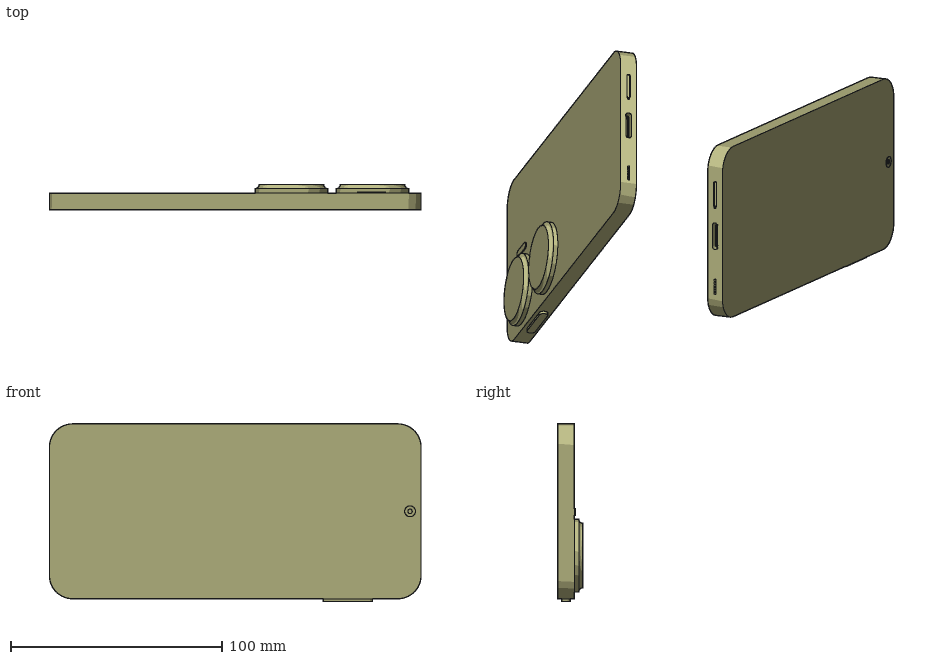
import cadquery as cq

length = 176.0
height = 83.0
thickness = 8.0
corner_radius = 11.1
mid_y = thickness / 2
left_x = -length / 2

overall_depth = 12.0
camera_base_radius = 17.3
camera_base_height = 2.1
camera_height = overall_depth - thickness
camera_cove_radius = camera_height - camera_base_height
camera_z = -21.0
camera_centers_x = (26.5, 65.0)

flash_length = 13.2
flash_width = 3.2
flash_height = 0.5
flash_x = 64.5
flash_z = -0.4

overall_height = 84.2
key_length = 23.5
key_width = 4.0
key_height = overall_height - height
key_x = 53.3

selfie_diameter = 5.1
selfie_depth = 0.2
selfie_lens_diameter = 2.1
selfie_lens_depth = 0.5
selfie_x = 82.7

socket_length = 12.9
socket_width = 2.8
socket_depth = 3.5
tongue_length = 9.9
tongue_width = 0.5
tongue_setback = 0.9
socket_z = -0.4

tray_length = 12.1
tray_width = 1.5
tray_depth = 0.9
tray_z = 20.0
pinhole_diameter = 0.9
pinhole_depth = 1.8
pinhole_z = 13.5

speaker_count = 6
speaker_pitch = 1.2
speaker_diameter = 1.0
speaker_depth = 1.8
speaker_z = -25.0


def display_plane(y):
    """Plane at depth y, local x along X, local y along Z, normal toward -Y."""
    return cq.Workplane("XZ", origin=(0, y, 0))


def left_end():
    """Plane on the left end, local x along Y, local y along Z, normal toward +X."""
    return cq.Workplane("YZ", origin=(left_x, mid_y, 0))


def make_slab():
    slab = cq.Workplane("XZ").rect(length, height).extrude(-thickness)
    return slab.edges("|Y").fillet(corner_radius)


def make_flash():
    return display_plane(thickness).center(flash_x, flash_z).slot2D(flash_length, flash_width).extrude(-flash_height)


def make_key():
    lower_edge = cq.Workplane("XY", origin=(key_x, mid_y, -height / 2))
    return lower_edge.slot2D(key_length, key_width).extrude(-key_height)


def selfie_cut():
    recess = display_plane(0).center(selfie_x, 0).circle(selfie_diameter / 2).extrude(-selfie_depth)
    lens_floor = selfie_depth + selfie_lens_depth
    lens = display_plane(0).center(selfie_x, 0).circle(selfie_lens_diameter / 2).extrude(-lens_floor)
    return recess.union(lens)


def socket_cut():
    """Socket void, leaving the flat tongue standing on its floor behind the mouth."""
    void = left_end().center(0, socket_z).slot2D(socket_length, socket_width, 90).extrude(socket_depth)
    tongue = left_end().center(0, socket_z).rect(tongue_width, tongue_length)
    tongue = tongue.extrude(socket_depth - tongue_setback).translate((tongue_setback, 0, 0))
    return void.cut(tongue)


def tray_cut():
    tray = left_end().center(0, tray_z).slot2D(tray_length, tray_width, 90).extrude(tray_depth)
    pinhole = left_end().center(0, pinhole_z).circle(pinhole_diameter / 2).extrude(pinhole_depth)
    return tray.union(pinhole)


def speaker_cut():
    row = left_end().center(0, speaker_z).rarray(1.8, speaker_pitch, 1, speaker_count)
    return row.circle(speaker_diameter / 2).extrude(speaker_depth)


def make_housing():
    housing = make_slab().union(make_flash()).union(make_key())
    for cut in (selfie_cut(), socket_cut(), tray_cut(), speaker_cut()):
        housing = housing.cut(cut)
    return housing


def make_camera(x):
    """Round module on the back: a straight base below a concave rim."""
    profile = (
        cq.Workplane("XY")
        .moveTo(0, 0)
        .lineTo(camera_base_radius, 0)
        .lineTo(camera_base_radius, camera_base_height)
        .radiusArc((camera_base_radius - camera_cove_radius, camera_height), camera_cove_radius)
        .lineTo(0, camera_height)
        .close()
    )
    module = profile.revolve(360, (0, 0, 0), (0, 1, 0))
    return module.translate((x, thickness, camera_z))


housing = make_housing()
cameras = [make_camera(x) for x in camera_centers_x]

result = cq.Compound.makeCompound([housing.val(), *[camera.val() for camera in cameras]])